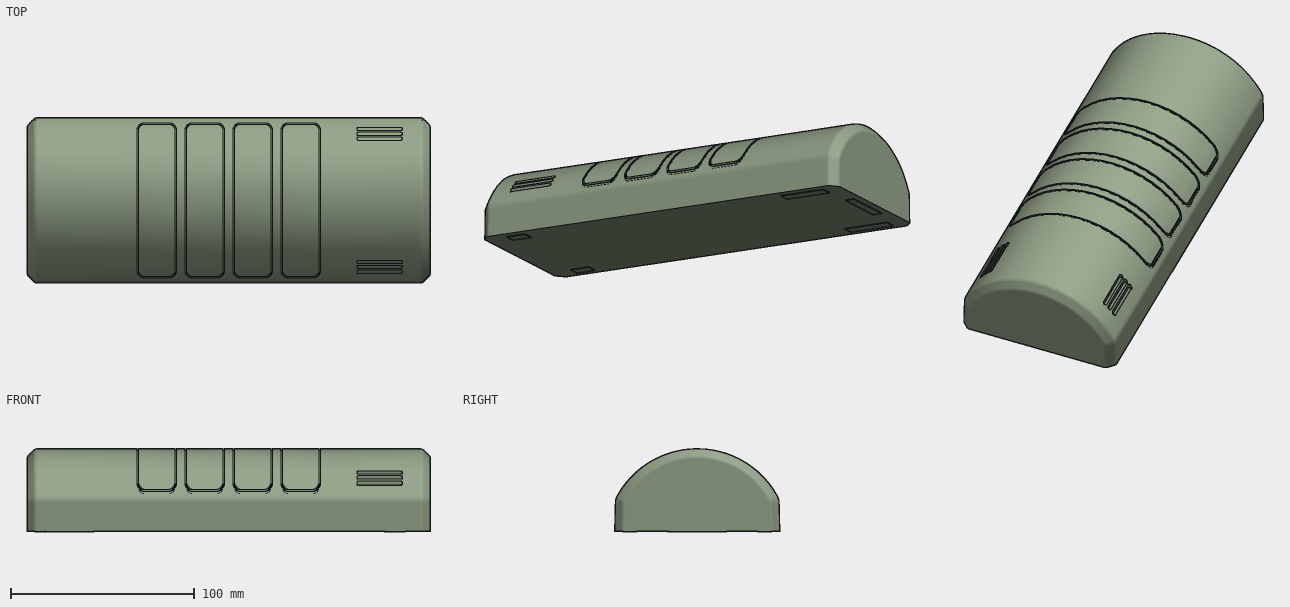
import cadquery as cq

length = 219.5
base_width = 90.0
foot_height = 0.5
overall_height = 45.5

shoulder_width = 89.2
shoulder_height = 17.3
roof_top = overall_height - foot_height
roof_rise = roof_top - shoulder_height
roof_radius = ((shoulder_width / 2) ** 2 + roof_rise ** 2) / (2 * roof_rise)
roof_center_z = roof_top - roof_radius
shoulder_fillet = 6.5

end_bevel = 4.5
bevel_round = 2.6

edge_tolerance = 0.02

pad_count = 4
pad_pitch = 26.1
pad_length = 20.0
pad_span = 82.8
pad_corner = 3.3
groove_width = 0.77
groove_depth = 0.7

slot_count = 3
slot_pitch = 2.6
slot_width = 1.8
slot_length = 24.8
slot_depth = 1.5
slot_x = 82.1
slot_y = 36.2

bar_foot_x = -102.8
bar_foot_length = 5.3
bar_foot_width = 31.8
side_foot_y = 36.7
side_foot_width = 7.2
long_foot_x = -86.5
long_foot_length = 26.1
short_foot_x = 90.5
short_foot_length = 11.2


def edges_in_box(low, high):
    """Selector for edges whose centre lies between two corner points."""
    return cq.selectors.BoxSelector(low, high)


def make_body():
    half_shoulder = shoulder_width / 2
    body = (
        cq.Workplane("YZ")
        .moveTo(-base_width / 2, 0)
        .lineTo(base_width / 2, 0)
        .lineTo(half_shoulder, shoulder_height)
        .threePointArc((0, roof_top), (-half_shoulder, shoulder_height))
        .close()
        .extrude(length / 2, both=True)
    )

    shoulders = edges_in_box(
        (-length, -base_width, shoulder_height - edge_tolerance),
        (length, base_width, shoulder_height + edge_tolerance),
    )
    body = body.edges("|X").edges(shoulders).fillet(shoulder_fillet)

    body = body.faces("<X or >X").edges("not(<Z)").chamfer(end_bevel)

    for bevel_edge_x in (length / 2, length / 2 - end_bevel):
        for side in (-1, 1):
            ring = edges_in_box(
                (side * bevel_edge_x - edge_tolerance, -base_width, edge_tolerance),
                (side * bevel_edge_x + edge_tolerance, base_width, overall_height),
            )
            body = body.edges(ring).fillet(bevel_round)
    return body


def below_roof(depth):
    """Solid lying at least the given depth under the roof surface."""
    return (
        cq.Workplane("YZ", origin=(-length / 2, 0, 0))
        .center(0, roof_center_z)
        .circle(roof_radius - depth)
        .extrude(length)
    )


def pad_prisms(margin):
    """Upright rounded blocks, one per pad, grown outwards by the margin."""
    return (
        cq.Workplane("XY", origin=(0, 0, shoulder_height))
        .rarray(pad_pitch, 2.2, pad_count, 1)
        .rect(pad_length + 2 * margin, pad_span + 2 * margin)
        .extrude(overall_height)
        .edges("|Z")
        .fillet(pad_corner + margin)
    )


def make_grooves():
    return pad_prisms(groove_width).cut(pad_prisms(0)).cut(below_roof(groove_depth))


def make_slots():
    centres = [
        (slot_x, side * slot_y + (i - (slot_count - 1) / 2) * slot_pitch)
        for side in (-1, 1)
        for i in range(slot_count)
    ]
    slots = (
        cq.Workplane("XY", origin=(0, 0, shoulder_height))
        .pushPoints(centres)
        .slot2D(slot_length, slot_width)
        .extrude(overall_height)
    )
    return slots.cut(below_roof(slot_depth))


def make_feet():
    feet = [(bar_foot_x, 0, bar_foot_length, bar_foot_width)]
    for side in (-1, 1):
        feet.append((long_foot_x, side * side_foot_y, long_foot_length, side_foot_width))
        feet.append((short_foot_x, side * side_foot_y, short_foot_length, side_foot_width))
    pads = cq.Workplane("XY")
    for x, y, size_x, size_y in feet:
        pads = pads.union(
            cq.Workplane("XY").center(x, y).rect(size_x, size_y).extrude(-foot_height)
        )
    return pads


result = make_body().cut(make_grooves()).cut(make_slots()).union(make_feet())